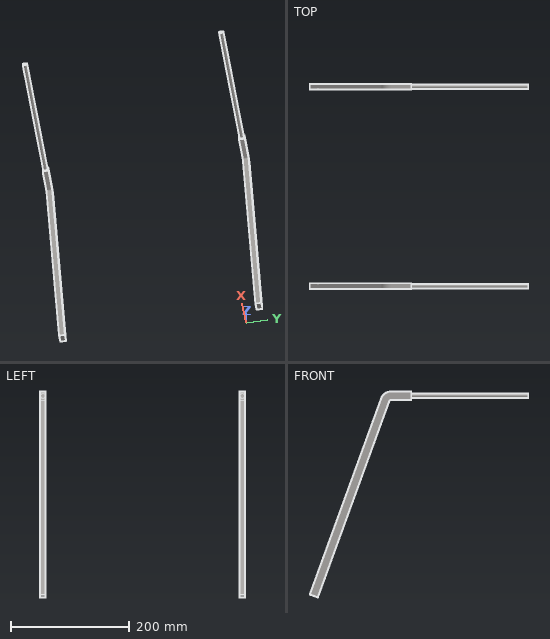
import cadquery as cq
import math

overall_length = 369.5
overall_width = 347.0
overall_height = 348.5

bar_depth = 14.8
bar_thickness = 10.0
bend_inner_radius = 3.0
leg_angle = math.radians(70)

rod_diameter = 8.0
rod_length = 197.8

bend_outer_radius = bend_inner_radius + bar_depth
leg_x, leg_z = -math.cos(leg_angle), -math.sin(leg_angle)
normal_x, normal_z = -math.sin(leg_angle), math.cos(leg_angle)

leg_length = (
    overall_height - bend_outer_radius + bend_inner_radius * normal_z
) / math.sin(leg_angle)
left_x = bend_outer_radius * normal_x + leg_length * leg_x
arm_length = overall_length + left_x - rod_length

bracket_spacing = overall_width - bar_thickness


def bend_point(radius, angle):
    """Point on a bend arc, with the angle measured from +X toward +Z."""
    return (radius * math.cos(angle), radius * math.sin(angle))


def leg_end(radius):
    """Bottom corner of the leg on the face that is tangent to the given bend radius."""
    return (
        radius * normal_x + leg_length * leg_x,
        radius * normal_z + leg_length * leg_z,
    )


def make_bar():
    """Bent bar, centred on the XZ plane."""
    arm_tangent = math.pi / 2
    leg_tangent = arm_tangent + leg_angle
    mid_bend = (arm_tangent + leg_tangent) / 2
    return (
        cq.Workplane("XZ")
        .moveTo(arm_length, bend_inner_radius)
        .lineTo(arm_length, bend_outer_radius)
        .lineTo(0, bend_outer_radius)
        .threePointArc(
            bend_point(bend_outer_radius, mid_bend),
            bend_point(bend_outer_radius, leg_tangent),
        )
        .lineTo(*leg_end(bend_outer_radius))
        .lineTo(*leg_end(bend_inner_radius))
        .lineTo(*bend_point(bend_inner_radius, leg_tangent))
        .threePointArc(
            bend_point(bend_inner_radius, mid_bend),
            bend_point(bend_inner_radius, arm_tangent),
        )
        .close()
        .extrude(bar_thickness / 2, both=True)
    )


def make_rod():
    """Round rod, centred on the end face of the arm."""
    rod_z = (bend_inner_radius + bend_outer_radius) / 2
    return (
        cq.Workplane("YZ", origin=(arm_length, 0, rod_z))
        .circle(rod_diameter / 2)
        .extrude(rod_length)
    )


def make_bracket(y):
    """One bracket: bar and rod as a single solid, placed at the given Y."""
    return make_bar().union(make_rod()).translate((0, y, 0))


brackets = []
for side in (-1, 1):
    brackets.append(make_bracket(side * bracket_spacing / 2).val())

bracket_solids = [solid for bracket in brackets for solid in bracket.Solids()]
result = cq.Compound.makeCompound(bracket_solids)